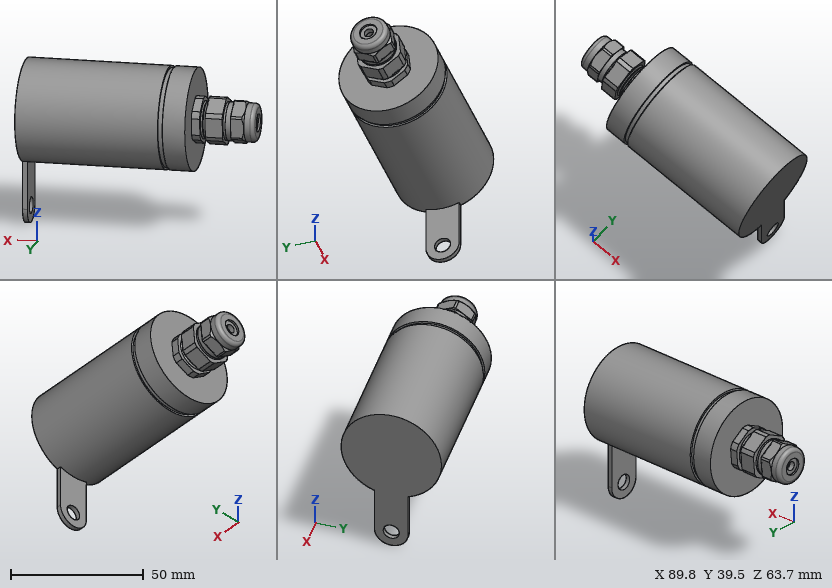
import cadquery as cq
import math


HOUSING_DIAMETER = 39.55
HOUSING_LENGTH = 65.86
GROOVE_START = 8.75
GROOVE_WIDTH = 1.8
GROOVE_DEPTH = 0.8

EAR_THICKNESS = 1.9
EAR_WIDTH = 13.3
EAR_DROP = 24.17
EAR_HOLE_DIAMETER = 6.3

LOCKNUT_THICKNESS = 3.2
EXPOSED_THREAD_LENGTH = 2.1
BODY_HEX_LENGTH = 6.65
COLLAR_LENGTH = 0.85
CAP_LENGTH = 11.15
CAP_HEX_START = 3.9
CAP_HEX_LENGTH = 5.15
CAP_HEX_CHAMFER_LENGTH = 0.75
CAP_FILLET = 1.6
CAP_LIP_LENGTH = 3.0

LARGE_FLATS = 17.0
BODY_HEX_CORNERS = 18.6
LOCKNUT_CORNERS = 18.2
CAP_FLATS = 15.0
CAP_HEX_CORNERS = 16.8
HEX_TILT = -5.5
CAP_DIAMETER = 14.9
COLLAR_DIAMETER = 14.7
SPIGOT_DIAMETER = 11.0
THREAD_DIAMETER = 14.6
THREAD_DEPTH = 0.7
THREAD_TURNS = 2
SEAL_DIAMETER = 6.8
SEAL_RECESS = 0.8
CABLE_HOLE_DIAMETER = 3.6

locknut_front = -LOCKNUT_THICKNESS
body_hex_rear = locknut_front - EXPOSED_THREAD_LENGTH
body_hex_front = body_hex_rear - BODY_HEX_LENGTH
cap_rear = body_hex_front - COLLAR_LENGTH
cap_front = cap_rear - CAP_LENGTH
cap_hex_front = cap_front + CAP_HEX_START
spigot_front = cap_front + CAP_LIP_LENGTH
seal_front = cap_front + SEAL_RECESS


def rod(diameter, start, end):
    """Cylinder on the X axis from X = start to X = end."""
    return cq.Workplane("YZ", origin=(start, 0, 0)).circle(diameter / 2).extrude(end - start)


def hex_prism(across_flats, across_corners, start, end):
    """Tilted hexagon on the X axis, with its corners rounded to a common diameter."""
    sharp_corners = across_flats / math.cos(math.radians(30))
    prism = (
        cq.Workplane("YZ", origin=(start, 0, 0))
        .polygon(6, sharp_corners)
        .extrude(end - start)
        .rotate((0, 0, 0), (1, 0, 0), HEX_TILT + 30)
    )
    return prism.intersect(rod(across_corners, start, end))


def make_housing():
    """Solid cylinder with a shallow ring groove and a flat ear below its rear end."""
    radius = HOUSING_DIAMETER / 2
    cylinder = rod(HOUSING_DIAMETER, 0, HOUSING_LENGTH)

    groove_end = GROOVE_START + GROOVE_WIDTH
    groove_floor = HOUSING_DIAMETER - 2 * GROOVE_DEPTH
    groove = rod(HOUSING_DIAMETER, GROOVE_START, groove_end).cut(
        rod(groove_floor, GROOVE_START, groove_end)
    )

    ear_front = HOUSING_LENGTH - EAR_THICKNESS
    ear_radius = EAR_WIDTH / 2
    ear_centre_z = ear_radius - radius - EAR_DROP
    ear = (
        cq.Workplane("YZ", origin=(ear_front, 0, 0))
        .moveTo(-ear_radius, 0)
        .lineTo(-ear_radius, ear_centre_z)
        .threePointArc((0, ear_centre_z - ear_radius), (ear_radius, ear_centre_z))
        .lineTo(ear_radius, 0)
        .close()
        .extrude(EAR_THICKNESS)
    )
    ear_hole = rod(EAR_HOLE_DIAMETER, ear_front, HOUSING_LENGTH).translate((0, 0, ear_centre_z))

    return cylinder.cut(groove).union(ear).cut(ear_hole)


def make_locknut():
    """Hexagon nut clamped against the housing, bored to fit over the gland body."""
    nut = hex_prism(LARGE_FLATS, LOCKNUT_CORNERS, locknut_front, 0)
    return nut.cut(rod(THREAD_DIAMETER, locknut_front, 0))


def make_gland_body():
    """Hexagon with a spigot and collar in front and a threaded shank behind."""
    spigot = rod(SPIGOT_DIAMETER, spigot_front, cap_rear)
    collar = rod(COLLAR_DIAMETER, cap_rear, body_hex_front)
    hexagon = hex_prism(LARGE_FLATS, BODY_HEX_CORNERS, body_hex_front, body_hex_rear)

    crest = THREAD_DIAMETER / 2
    root = crest - THREAD_DEPTH
    pitch = EXPOSED_THREAD_LENGTH / THREAD_TURNS
    outline = cq.Workplane("XY").moveTo(body_hex_rear, 0).lineTo(body_hex_rear, crest)
    for turn in range(THREAD_TURNS):
        turn_start = body_hex_rear + turn * pitch
        outline = outline.lineTo(turn_start + pitch / 2, root)
        outline = outline.lineTo(turn_start + pitch, crest)
    shank = (
        outline.lineTo(0, crest).lineTo(0, 0).close()
        .revolve(360, (0, 0, 0), (1, 0, 0))
    )

    cable_hole = rod(CABLE_HOLE_DIAMETER, spigot_front, 0)
    return spigot.union(collar).union(hexagon).union(shank).cut(cable_hole)


def make_gland_cap():
    """Round-nosed cap with a hexagon grip, a seal bore and a socket for the spigot."""
    barrel = rod(CAP_DIAMETER, cap_front, cap_rear).faces("<X").edges().fillet(CAP_FILLET)

    grip_end = cap_hex_front + CAP_HEX_LENGTH
    grip = hex_prism(CAP_FLATS, CAP_HEX_CORNERS, cap_hex_front, grip_end)
    grip_envelope = (
        cq.Workplane("XY")
        .moveTo(cap_hex_front, 0)
        .lineTo(cap_hex_front, CAP_DIAMETER / 2)
        .lineTo(cap_hex_front + CAP_HEX_CHAMFER_LENGTH, CAP_HEX_CORNERS / 2)
        .lineTo(grip_end, CAP_HEX_CORNERS / 2)
        .lineTo(grip_end, 0)
        .close()
        .revolve(360, (0, 0, 0), (1, 0, 0))
    )

    seal_bore = rod(SEAL_DIAMETER, cap_front, spigot_front)
    socket = rod(SPIGOT_DIAMETER, spigot_front, cap_rear)
    return barrel.union(grip.intersect(grip_envelope)).cut(seal_bore).cut(socket)


def make_seal():
    """Cable seal, set back a little inside the cap's front bore."""
    return rod(SEAL_DIAMETER, seal_front, spigot_front).cut(
        rod(CABLE_HOLE_DIAMETER, seal_front, spigot_front)
    )


housing = make_housing()
locknut = make_locknut()
gland_body = make_gland_body()
gland_cap = make_gland_cap()
seal = make_seal()

result = cq.Compound.makeCompound(
    [housing.val(), locknut.val(), gland_body.val(), gland_cap.val(), seal.val()]
)